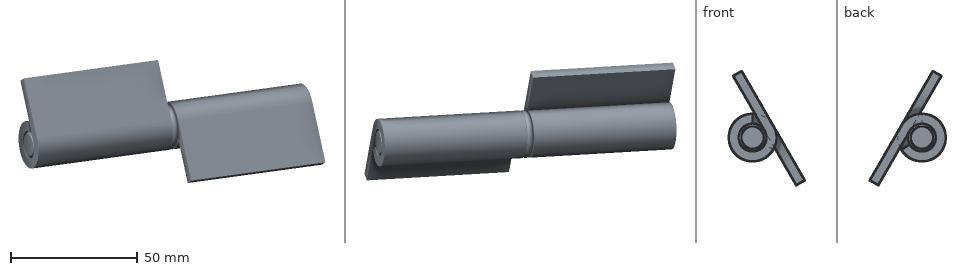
import cadquery as cq
import math

overall_length = 120.0
overall_height = 45.4
pin_diameter = 11.0
sheet_thickness = 4.0
collar_width = 3.0
pin_chamfer = 1.1
plate_normal_angle = 30.0
roll_end_angle = 60.0

bore_radius = pin_diameter / 2
knuckle_radius = bore_radius + sheet_thickness
leaf_length = (overall_length - collar_width) / 2
normal_rad = math.radians(plate_normal_angle)
plate_reach = (overall_height - sheet_thickness * math.sin(normal_rad)) / (2 * math.cos(normal_rad))


def polar(radius, degrees):
    angle = math.radians(degrees)
    return (radius * math.cos(angle), radius * math.sin(angle))


def make_leaf(side):
    """Rolled sheet leaf along +Z: side +1 has its plate toward +Y, side -1 toward -Y.

    The profile is drawn with the plate facing +X.
    """
    end_angle = side * roll_end_angle
    opposite_angle = 180 + end_angle / 2
    return (
        cq.Workplane("XY")
        .moveTo(bore_radius, 0)
        .lineTo(bore_radius, side * plate_reach)
        .lineTo(knuckle_radius, side * plate_reach)
        .lineTo(knuckle_radius, 0)
        .threePointArc(polar(knuckle_radius, opposite_angle), polar(knuckle_radius, end_angle))
        .lineTo(*polar(bore_radius, end_angle))
        .threePointArc(polar(bore_radius, opposite_angle), (bore_radius, 0))
        .close()
        .extrude(leaf_length)
    )


def place_along_axis(body, start_y):
    """Turn a body built along +Z to run along -Y, its base at start_y."""
    turned = body.rotate((0, 0, 0), (0, 0, 1), plate_normal_angle)
    return turned.rotate((0, 0, 0), (1, 0, 0), 90).translate((0, start_y, 0))


def make_pin():
    """Chamfered pin with a round-edged collar between the two knuckles."""
    shaft = cq.Workplane("XZ").circle(bore_radius).extrude(overall_length / 2, both=True)
    shaft = shaft.faces("<Y or >Y").chamfer(pin_chamfer)
    half_width = collar_width / 2
    flat_radius = knuckle_radius - half_width
    collar = (
        cq.Workplane("XY")
        .moveTo(0, -half_width)
        .lineTo(flat_radius, -half_width)
        .threePointArc((knuckle_radius, 0), (flat_radius, half_width))
        .lineTo(0, half_width)
        .close()
        .revolve(360, (0, 0, 0), (0, 1, 0))
    )
    return shaft.union(collar)


front_leaf = place_along_axis(make_leaf(1), -collar_width / 2)
rear_leaf = place_along_axis(make_leaf(-1), overall_length / 2)
pin = make_pin()

result = cq.Compound.makeCompound([front_leaf.val(), rear_leaf.val(), pin.val()])